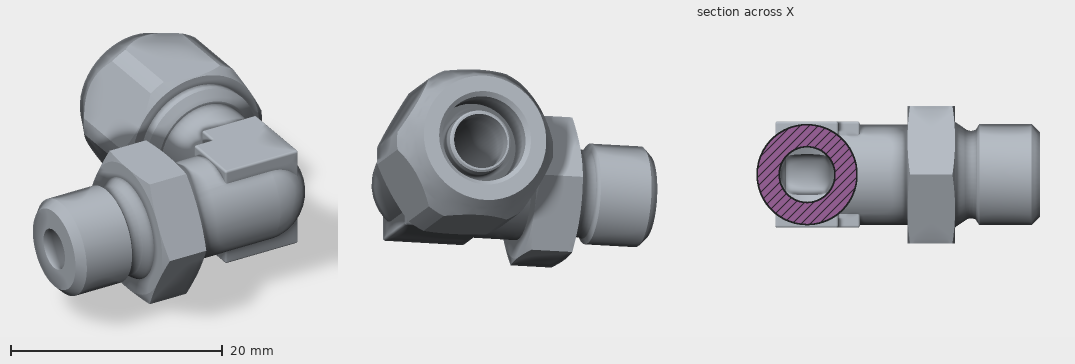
import cadquery as cq
import math


pipe_radius = 4.75
pad_outer = 3.0
pad_inner = 4.98
pad_notch = 2.95
pad_half_height = 5.0
pad_rounding = 0.2

nut_face = 22.5
nut_back = 11.07
nut_across_flats = 14.0
nut_corner_radius = 7.65
nut_mouth_face_radius = 6.0
nut_front_angle = 25.0
nut_back_chamfer = 0.72

collar_radius = 6.0
collar_shoulder = 10.08
collar_end = 9.4
collar_end_radius = 4.98

mouth_radius = 4.08
mouth_chamfer = 0.42
mouth_depth = 4.0
nose_radius = 2.97
nose_depth = 1.53
nose_root_fillet = 0.33
nose_chamfer = 0.18

hex_top = 9.48
hex_bottom = 13.98
hex_across_flats = 13.0
hex_chamfer_angle = 14.0

stud_end = 22.0
stud_radius = 4.77
stud_chamfer = 0.78
seal_cone_radius = 4.98
seal_cone_length = 0.9
seal_cone_angle = 34.0
neck_radius = 4.15
neck_center = 15.45
neck_end = 15.95
neck_end_radius = 4.25
thread_start = 16.27

tube_bore_radius = 2.6
tube_bore_end = -0.93
stud_bore_radius = 2.0
stud_bore_end = 2.0
drill_half_angle = 59.0


def tan_deg(angle):
    return math.tan(math.radians(angle))


def revolve_about_x(outline):
    """Revolve a closed outline of (x, radius) about the X axis."""
    return outline.close().revolve(360, (0, 0, 0), (1, 0, 0))


def revolve_about_y(outline):
    """Revolve a closed outline of (radius, y) about the Y axis."""
    return outline.close().revolve(360, (0, 0, 0), (0, 1, 0))


def hex_prism(plane, across_flats, start, length):
    """Hexagonal prism along the plane's normal, with two corners on the plane's first axis."""
    corner_diameter = across_flats / math.cos(math.pi / 6)
    return (
        cq.Workplane(plane)
        .workplane(offset=start)
        .polygon(6, corner_diameter)
        .extrude(length)
    )


def make_elbow():
    tube_arm = cq.Workplane("YZ").circle(pipe_radius).extrude(-nut_back)
    stud_arm = cq.Workplane("XZ").circle(pipe_radius).extrude(hex_top)
    bend = cq.Workplane("XY").sphere(pipe_radius)
    return tube_arm.union(stud_arm).union(bend)


def make_pad():
    """L-shaped wrench pad that stands out above and below the bend."""
    pad = (
        cq.Workplane("XY")
        .workplane(offset=-pad_half_height)
        .moveTo(pad_outer, pad_outer)
        .lineTo(-pad_inner, pad_outer)
        .lineTo(-pad_inner, -pad_notch)
        .lineTo(-pad_notch, -pad_notch)
        .lineTo(-pad_notch, -pad_inner)
        .lineTo(pad_outer, -pad_inner)
        .close()
        .extrude(2 * pad_half_height)
    )
    pad = pad.edges("|Z").fillet(pad_rounding)
    return pad.faces("|Z").edges().fillet(pad_rounding)


def make_nut():
    front_length = (nut_corner_radius - nut_mouth_face_radius) / tan_deg(nut_front_angle)
    envelope = revolve_about_x(
        cq.Workplane("XY")
        .moveTo(-nut_face, 0)
        .lineTo(-nut_face, nut_mouth_face_radius)
        .lineTo(-nut_face + front_length, nut_corner_radius)
        .lineTo(-nut_back - nut_back_chamfer, nut_corner_radius)
        .lineTo(-nut_back, nut_corner_radius - nut_back_chamfer)
        .lineTo(-nut_back, 0)
    )
    prism = hex_prism("YZ", nut_across_flats, -nut_face, nut_face - nut_back)
    return prism.intersect(envelope)


def make_collar():
    return revolve_about_x(
        cq.Workplane("XY")
        .moveTo(-nut_back, 0)
        .lineTo(-nut_back, collar_radius)
        .lineTo(-collar_shoulder, collar_radius)
        .lineTo(-collar_end, collar_end_radius)
        .lineTo(-collar_end, 0)
    )


def make_hexagon():
    flat_radius = hex_across_flats / 2
    corner_radius = flat_radius / math.cos(math.pi / 6)
    chamfer_height = (corner_radius - flat_radius) * tan_deg(hex_chamfer_angle)
    envelope = revolve_about_y(
        cq.Workplane("XY")
        .moveTo(0, -hex_top)
        .lineTo(flat_radius, -hex_top)
        .lineTo(corner_radius, -hex_top - chamfer_height)
        .lineTo(corner_radius, -hex_bottom + chamfer_height)
        .lineTo(flat_radius, -hex_bottom)
        .lineTo(0, -hex_bottom)
    )
    prism = hex_prism("XZ", hex_across_flats, hex_top, hex_bottom - hex_top)
    return prism.intersect(envelope)


def make_stud():
    """Seal cone, rounded neck and plain thread cylinder."""
    cone_end = hex_bottom + seal_cone_length
    cone_end_radius = seal_cone_radius - seal_cone_length * tan_deg(seal_cone_angle)
    return revolve_about_y(
        cq.Workplane("XY")
        .moveTo(0, -hex_bottom)
        .lineTo(seal_cone_radius, -hex_bottom)
        .lineTo(cone_end_radius, -cone_end)
        .threePointArc((neck_radius, -neck_center), (neck_end_radius, -neck_end))
        .lineTo(stud_radius, -thread_start)
        .lineTo(stud_radius, -stud_end + stud_chamfer)
        .lineTo(stud_radius - stud_chamfer, -stud_end)
        .lineTo(0, -stud_end)
    )


def make_mouth_cut():
    """Space between the nut and the tube nose, open at the nut face."""
    mouth_floor = -nut_face + mouth_depth
    nose_face = -nut_face + nose_depth
    fillet_middle = nose_root_fillet * (1 - math.sqrt(0.5))
    return revolve_about_x(
        cq.Workplane("XY")
        .moveTo(-nut_face, 0)
        .lineTo(-nut_face, mouth_radius + mouth_chamfer)
        .lineTo(-nut_face + mouth_chamfer, mouth_radius)
        .lineTo(mouth_floor, mouth_radius)
        .lineTo(mouth_floor, nose_radius + nose_root_fillet)
        .threePointArc(
            (mouth_floor - fillet_middle, nose_radius + fillet_middle),
            (mouth_floor - nose_root_fillet, nose_radius),
        )
        .lineTo(nose_face + nose_chamfer, nose_radius)
        .lineTo(nose_face, nose_radius - nose_chamfer)
        .lineTo(nose_face, 0)
    )


def make_tube_bore():
    nose_face = -nut_face + nose_depth
    drill_tip = tube_bore_end + tube_bore_radius / tan_deg(drill_half_angle)
    return revolve_about_x(
        cq.Workplane("XY")
        .moveTo(nose_face, 0)
        .lineTo(nose_face, tube_bore_radius)
        .lineTo(tube_bore_end, tube_bore_radius)
        .lineTo(drill_tip, 0)
    )


def make_stud_bore():
    drill_tip = stud_bore_end + stud_bore_radius / tan_deg(drill_half_angle)
    return revolve_about_y(
        cq.Workplane("XY")
        .moveTo(0, -stud_end)
        .lineTo(stud_bore_radius, -stud_end)
        .lineTo(stud_bore_radius, stud_bore_end)
        .lineTo(0, drill_tip)
    )


body = make_elbow()
for piece in (make_pad(), make_collar(), make_nut(), make_hexagon(), make_stud()):
    body = body.union(piece)
for cavity in (make_mouth_cut(), make_tube_bore(), make_stud_bore()):
    body = body.cut(cavity)
result = body